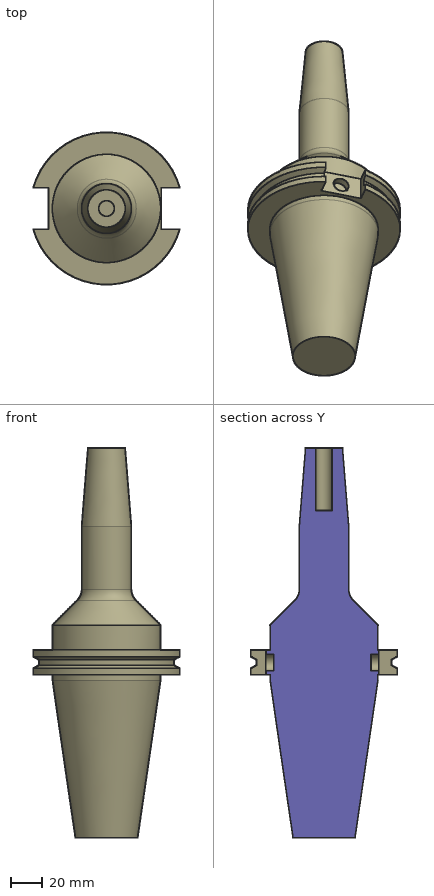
import cadquery as cq
import math

overall_length = 251.5
taper_top_z = 102.0
flange_bottom_z = 105.2
flange_top_z = 121.3
shoulder_top_z = 137.4
nose_start_z = 201.0

flange_diameter = 98.5
shank_end_radius = 20.1
body_radius = 35.0
flange_radius = flange_diameter / 2
neck_radius = 16.0
nose_tip_radius = 12.0

cone_angle = math.radians(45)
blend_radius = 10.0

groove_depth = 3.5
groove_floor_width = 3.5
groove_flank_angle = math.radians(30)

slot_width = 26.7
left_slot_floor_x = -37.5
right_slot_floor_x = 35.5
slot_hole_diameter = 10.0
slot_hole_depth = 5.0

bore_diameter = 10.0
bore_depth = 40.3

flange_middle_z = (flange_bottom_z + flange_top_z) / 2
groove_half_floor = groove_floor_width / 2
groove_half_mouth = groove_half_floor + groove_depth * math.tan(groove_flank_angle)
groove_floor_radius = flange_radius - groove_depth
blend_center_radius = neck_radius + blend_radius
blend_foot_radius = blend_center_radius - blend_radius * math.cos(cone_angle)
blend_foot_z = shoulder_top_z + (body_radius - blend_foot_radius) * math.tan(cone_angle)
blend_top_z = blend_foot_z + blend_radius * math.sin(cone_angle)
blend_middle = (
    blend_center_radius - blend_radius * math.cos(cone_angle / 2),
    blend_top_z - blend_radius * math.sin(cone_angle / 2),
)


def turned_body():
    """Shank taper, grooved flange, shoulder, neck and nose as one revolved profile."""
    profile = (
        cq.Workplane("XZ")
        .lineTo(shank_end_radius, 0)
        .lineTo(body_radius, taper_top_z)
        .lineTo(body_radius, flange_bottom_z)
        .lineTo(flange_radius, flange_bottom_z)
        .lineTo(flange_radius, flange_middle_z - groove_half_mouth)
        .lineTo(groove_floor_radius, flange_middle_z - groove_half_floor)
        .lineTo(groove_floor_radius, flange_middle_z + groove_half_floor)
        .lineTo(flange_radius, flange_middle_z + groove_half_mouth)
        .lineTo(flange_radius, flange_top_z)
        .lineTo(body_radius, flange_top_z)
        .lineTo(body_radius, shoulder_top_z)
        .lineTo(blend_foot_radius, blend_foot_z)
        .threePointArc(blend_middle, (neck_radius, blend_top_z))
        .lineTo(neck_radius, nose_start_z)
        .lineTo(nose_tip_radius, overall_length)
        .lineTo(0, overall_length)
        .close()
    )
    return profile.revolve(360, (0, 0, 0), (0, 1, 0))


def driving_slot(floor_x):
    """Cutter for a slot open to the flange rim, with a hole going inward from its floor."""
    outward = math.copysign(1, floor_x)
    slot_length = flange_radius
    slot = cq.Workplane("XY").box(slot_length, slot_width, flange_top_z - flange_bottom_z)
    slot = slot.translate((floor_x + outward * slot_length / 2, 0, flange_middle_z))
    hole = (
        cq.Workplane("YZ", origin=(floor_x, 0, flange_middle_z))
        .circle(slot_hole_diameter / 2)
        .extrude(-outward * slot_hole_depth)
    )
    return slot.union(hole)


result = turned_body()
for slot_floor_x in (left_slot_floor_x, right_slot_floor_x):
    result = result.cut(driving_slot(slot_floor_x))
result = result.faces(">Z").workplane(origin=(0, 0, overall_length)).hole(bore_diameter, bore_depth)